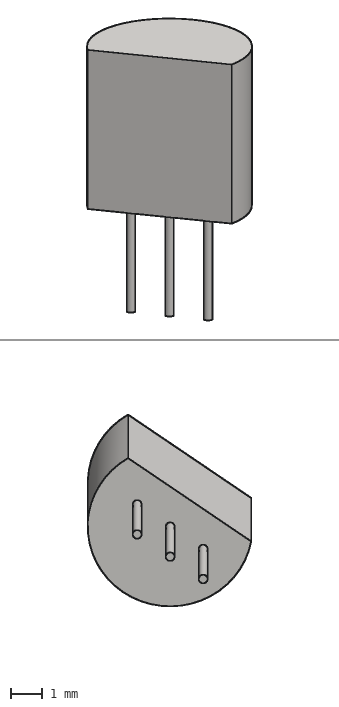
import cadquery as cq
import math

total_height = 8.99
case_height = 5.32
case_diameter = 5.2
case_depth = 3.67
lead_diameter = 0.28
lead_pitch = 1.27
lead_count = 3

case_radius = case_diameter / 2
lead_length = total_height - case_height
flat_y = case_radius - case_depth
flat_half_width = math.sqrt(case_radius**2 - flat_y**2)


def make_case():
    """D-shaped case: a cylinder with one flat side, standing on Z = 0."""
    return (
        cq.Workplane("XY")
        .moveTo(-flat_half_width, flat_y)
        .lineTo(flat_half_width, flat_y)
        .threePointArc((0, case_radius), (-flat_half_width, flat_y))
        .close()
        .extrude(case_height)
    )


def make_lead(x):
    """Round lead hanging from the underside of the case at the given X."""
    return cq.Workplane("XY").center(x, 0).circle(lead_diameter / 2).extrude(-lead_length)


case = make_case()

first_lead_x = -lead_pitch * (lead_count - 1) / 2
leads = []
for index in range(lead_count):
    leads.append(make_lead(first_lead_x + index * lead_pitch))

result = cq.Compound.makeCompound([case.val(), *[lead.val() for lead in leads]])